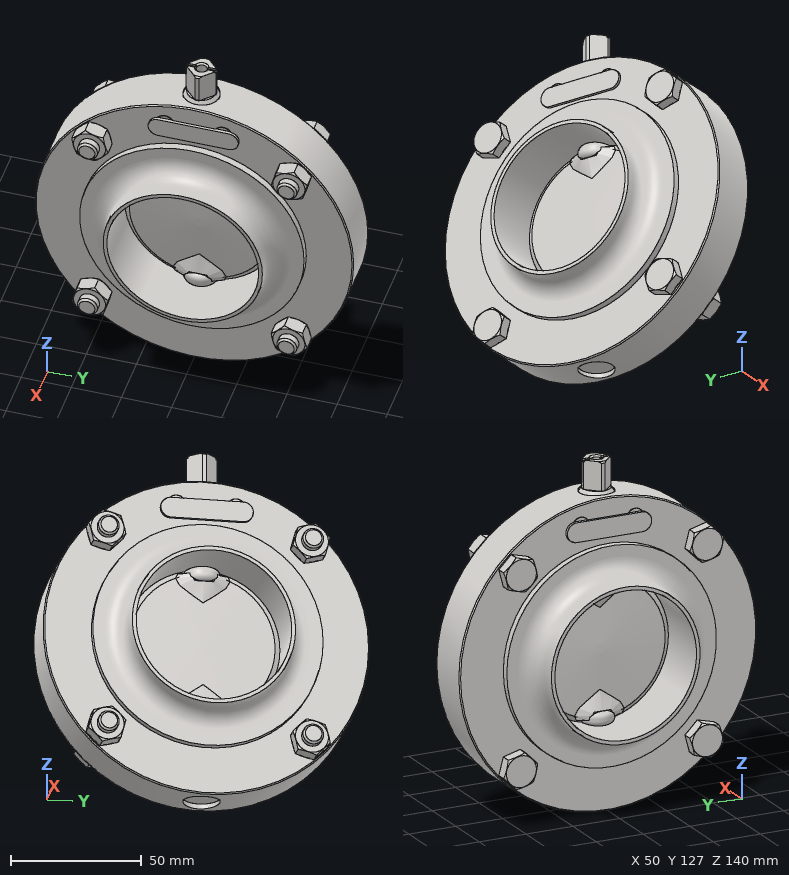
import cadquery as cq
import math

flange_diameter = 127.0
flange_half_width = 10.0
flange_edge_chamfer = 0.5
ring_diameter = 89.5
ring_half_width = 13.0
pipe_diameter = 63.5
pipe_bore = 60.5
pipe_half_length = 25.0
neck_fillet_radius = 8.0

disc_half_thickness = 3.5
disc_rim_half_thickness = 2.5
disc_face_diameter = 56.2
disc_edge_half_thickness = 1.0
disc_center_flat = 4.13

hub_diameter = 14.2
hub_edge_radius = 2.6
hub_inner_height = 24.6
hub_outer_height = 30.9
hub_core_diameter = 8.5
hub_core_top = 31.2
wedge_tip_height = 15.0
wedge_top_height = 29.0
wedge_crest_depth = 5.2
wedge_crest_tip_height = 24.6
wedge_foot = [(5.9, 20.2), (9.2, 23.0), (10.6, 26.0), (9.8, 27.8)]
wedge_crest = [(3.5, 24.6), (4.0, 25.2), (4.2, 26.0), (4.2, 27.8)]

bolt_circle_radius = 56.2
hex_across_flats = 13.0
hex_chamfer_angle = 30.0
hex_chamfer_face = 12.8
head_height = 4.8
head_washer_diameter = 11.4
head_washer_height = 0.6
nut_height = 6.5
bolt_diameter = 8.0
bolt_end = 20.0
bolt_end_chamfer = 0.8

pad_length = 36.0
pad_height = 8.0
pad_thickness = 1.2
pad_center_height = 51.6
recess_diameter = 7.2
recess_spacing = 23.2
recess_center_height = 53.5
recess_depth = 0.2

stem_top = 76.5
stem_body_diameter = 14.2
stem_cone_base = 62.4
stem_cone_top_diameter = 11.4
stem_square_base = 64.6
stem_square_across_flats = 9.5
stem_square_corner_diameter = 12.0
stem_top_chamfer_height = 0.6
stem_top_chamfer_width = 0.7
stem_hole_diameter = 4.13
stem_hole_depth = 10.0
stem_hole_countersink = 5.5
stem_slot_width = 1.4
stem_slot_depth = 0.8
drill_point_angle = 118.0
lower_stem_recess_depth = 2.0


def revolve_about_x(profile):
    return profile.close().revolve(360, (0, 0, 0), (1, 0, 0))


def cylinder_along_x(diameter, x_start, x_end):
    return cq.Workplane("YZ", origin=(x_start, 0, 0)).circle(diameter / 2).extrude(x_end - x_start)


def cylinder_along_z(diameter, z_start, z_end):
    return cq.Workplane("XY", origin=(0, 0, z_start)).circle(diameter / 2).extrude(z_end - z_start)


def make_housing():
    flange = cylinder_along_x(flange_diameter, -flange_half_width, flange_half_width)
    flange = flange.edges().chamfer(flange_edge_chamfer)
    ring = cylinder_along_x(ring_diameter, -ring_half_width, ring_half_width)
    housing = flange.union(ring)

    pipe_radius = pipe_diameter / 2
    neck_radius = pipe_radius + neck_fillet_radius
    neck_end = ring_half_width + neck_fillet_radius
    arc_reach = neck_fillet_radius * math.sqrt(0.5)
    pipe = revolve_about_x(
        cq.Workplane("XY")
        .moveTo(0, 0)
        .lineTo(0, neck_radius)
        .lineTo(ring_half_width, neck_radius)
        .threePointArc((neck_end - arc_reach, neck_radius - arc_reach), (neck_end, pipe_radius))
        .lineTo(pipe_half_length, pipe_radius)
        .lineTo(pipe_half_length, 0)
    )
    housing = housing.union(pipe).union(pipe.mirror("YZ"))

    bore = cylinder_along_x(pipe_bore, -pipe_half_length, pipe_half_length)
    return housing.cut(bore)


def make_valve_disc():
    """Closed disc with shallow conical faces and a bevelled rim."""
    flat_radius = disc_center_flat / 2
    rim_radius = disc_face_diameter / 2
    edge_radius = pipe_bore / 2
    return revolve_about_x(
        cq.Workplane("XY")
        .moveTo(-disc_half_thickness, 0)
        .lineTo(-disc_half_thickness, flat_radius)
        .lineTo(-disc_rim_half_thickness, rim_radius)
        .lineTo(-disc_edge_half_thickness, edge_radius)
        .lineTo(disc_edge_half_thickness, edge_radius)
        .lineTo(disc_rim_half_thickness, rim_radius)
        .lineTo(disc_half_thickness, flat_radius)
        .lineTo(disc_half_thickness, 0)
    )


def wedge_outline(tip_height, flank):
    """Closed outline from the lower tip up one flank and down the mirrored flank."""
    mirrored_flank = [(-y, z) for y, z in reversed(flank)]
    return [(0, tip_height)] + flank + [(0, wedge_top_height)] + mirrored_flank


def make_hub_wedge():
    """Pointed wedge that runs from the hub down to the faces of the valve disc."""
    half = (
        cq.Workplane("YZ", origin=(disc_rim_half_thickness, 0, 0))
        .polyline(wedge_outline(wedge_tip_height, wedge_foot))
        .close()
        .workplane(offset=wedge_crest_depth - disc_rim_half_thickness)
        .polyline(wedge_outline(wedge_crest_tip_height, wedge_crest))
        .close()
        .loft(ruled=True)
    )
    return half.union(half.mirror("YZ"))


def make_hub():
    hub = cylinder_along_z(hub_diameter, hub_inner_height, hub_outer_height)
    hub = hub.faces("<Z or >Z").edges().fillet(hub_edge_radius)
    core = cylinder_along_z(hub_core_diameter, hub_inner_height, hub_core_top)
    return hub.union(core).union(make_hub_wedge())


def make_hex(height, chamfer_both_ends):
    """Hexagon along +X with a corner across Y and conical chamfers on its corners."""
    corner_diameter = hex_across_flats / math.cos(math.radians(30))
    hexagon = cq.Workplane("YZ").polygon(6, corner_diameter).extrude(height)
    face_radius = hex_chamfer_face / 2
    corner_radius = corner_diameter / 2
    drop = (corner_radius - face_radius) * math.tan(math.radians(hex_chamfer_angle))
    start_radius = face_radius if chamfer_both_ends else corner_radius
    envelope = revolve_about_x(
        cq.Workplane("XY")
        .lineTo(0, start_radius)
        .lineTo(drop, corner_radius)
        .lineTo(height - drop, corner_radius)
        .lineTo(height, face_radius)
        .lineTo(height, 0)
    )
    return hexagon.intersect(envelope)


def make_bolt():
    """Bolt on the X axis: head on the -X side, nut and thread end on the +X side."""
    washer_face = flange_half_width + head_washer_height
    head = make_hex(head_height, False).translate((washer_face, 0, 0)).mirror("YZ")
    washer = cylinder_along_x(head_washer_diameter, -washer_face, -flange_half_width)
    nut = make_hex(nut_height, True).translate((flange_half_width, 0, 0))
    thread = cylinder_along_x(bolt_diameter, -washer_face, bolt_end)
    thread = thread.faces(">X").edges().chamfer(bolt_end_chamfer)
    return head.union(washer).union(nut).union(thread)


def add_bolts(body):
    bolt = make_bolt().translate((0, 0, bolt_circle_radius))
    for angle in (45, 135, 225, 315):
        body = body.union(bolt.rotate((0, 0, 0), (1, 0, 0), angle))
    return body


def add_label_pads(body):
    for side in (-1, 1):
        face = cq.Workplane("YZ", origin=(side * flange_half_width, 0, 0))
        recesses = (
            face.pushPoints([(y, recess_center_height) for y in (-recess_spacing / 2, recess_spacing / 2)])
            .circle(recess_diameter / 2)
            .extrude(-side * recess_depth)
        )
        pad = (
            face.workplane(offset=-side * recess_depth)
            .center(0, pad_center_height)
            .slot2D(pad_length, pad_height)
            .extrude(side * (recess_depth + pad_thickness))
        )
        body = body.cut(recesses).union(pad)
    return body


def make_stem():
    """Part of the stem that stands in and above the hole at the top of the flange."""
    shoulder = (
        cq.Workplane("XZ")
        .moveTo(0, stem_cone_base)
        .lineTo(stem_body_diameter / 2, stem_cone_base)
        .lineTo(stem_cone_top_diameter / 2, stem_square_base)
        .lineTo(0, stem_square_base)
        .close()
        .revolve(360, (0, 0, 0), (0, 1, 0))
    )
    square_height = stem_top - stem_square_base
    square = (
        cq.Workplane("XY", origin=(0, 0, stem_square_base))
        .rect(stem_square_across_flats, stem_square_across_flats)
        .extrude(square_height)
        .rotate((0, 0, 0), (0, 0, 1), 45)
    )
    corners = cylinder_along_z(stem_square_corner_diameter, stem_square_base, stem_top)
    corners = corners.faces(">Z").edges().chamfer(stem_top_chamfer_height, stem_top_chamfer_width)
    slot = cq.Workplane("XY", origin=(0, 0, stem_top)).rect(stem_slot_width, stem_body_diameter)
    stem = shoulder.union(square.intersect(corners)).cut(slot.extrude(-stem_slot_depth))

    hole_radius = stem_hole_diameter / 2
    countersink_radius = stem_hole_countersink / 2
    hole_bottom = stem_top - stem_hole_depth
    point_depth = hole_radius / math.tan(math.radians(drill_point_angle / 2))
    hole = (
        cq.Workplane("XZ")
        .moveTo(0, stem_top)
        .lineTo(countersink_radius, stem_top)
        .lineTo(hole_radius, stem_top - (countersink_radius - hole_radius))
        .lineTo(hole_radius, hole_bottom)
        .lineTo(0, hole_bottom - point_depth)
        .close()
        .revolve(360, (0, 0, 0), (0, 1, 0))
    )
    return stem.cut(hole)


def add_stem(body):
    flange_radius = flange_diameter / 2
    upper_hole = cylinder_along_z(stem_body_diameter, stem_cone_base, flange_radius)
    lower_hole = cylinder_along_z(stem_body_diameter, -flange_radius, lower_stem_recess_depth - flange_radius)
    return body.cut(upper_hole).cut(lower_hole).union(make_stem())


hub = make_hub()
body = make_housing().union(make_valve_disc()).union(hub).union(hub.mirror("XY"))
body = add_bolts(body)
body = add_label_pads(body)
result = add_stem(body)